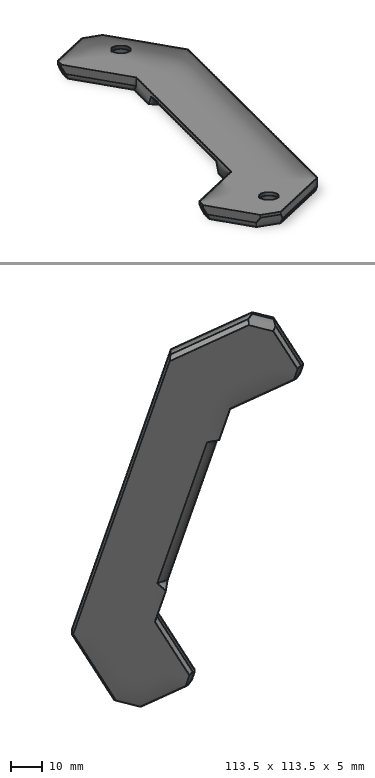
import cadquery as cq
import math

side = 113.5
thickness = 5.0
half = side / 2
symmetry_normal = (1, -1, 0)

pad_width = 27.3
pad_inner_length = 28.3
pad_outer_length = 34.7
outer_corner_cut = 5.0
inner_corner_cut = 2.3

undercut_slope = 0.5
edge_undercut_height = 2.0
corner_undercut_height = 4.0
undercut_overrun = 3.0

relief_height = 3.5
relief_face_length = 56.0
relief_corner_length = 60.0

hole_diameter = 6.3
hole_depth = 1.2
hole_from_end = 15.0
hole_from_side = 8.5


def mirrored(point):
    """Mirror a point across the plane X = Y."""
    return point[1], point[0]


arm_outer = (-half + pad_outer_length, half)
outer_cut_start = (-half + outer_corner_cut, half)
outer_cut_end = (-half, half - outer_corner_cut)
inner_cut_start = (-half, half - pad_width + inner_corner_cut)
inner_cut_end = (-half + inner_corner_cut, half - pad_width)
arm_inner = (-half + pad_inner_length, half - pad_width)
half_outline = [arm_outer, outer_cut_start, outer_cut_end, inner_cut_start, inner_cut_end, arm_inner]


def make_plate():
    outline = half_outline + [mirrored(point) for point in reversed(half_outline)]
    return cq.Workplane("XY").polyline(outline).close().extrude(thickness)


def make_arm_strip():
    """Arm slab with its inner edge carried past the pads, which is where undercuts stop."""
    run_on = (arm_inner[0] - undercut_overrun, arm_inner[1] + undercut_overrun)
    corners = [run_on, mirrored(run_on), mirrored(arm_outer), arm_outer]
    return cq.Workplane("XY").polyline(corners).close().extrude(thickness)


def make_undercut(start, end, height):
    """Wedge below an edge; the part lies to the left when going from start to end."""
    length = math.dist(start, end)
    along_x = (end[0] - start[0]) / length
    along_y = (end[1] - start[1]) / length
    origin = (start[0] - along_x * undercut_overrun, start[1] - along_y * undercut_overrun, 0)
    plane = cq.Plane(origin, xDir=(-along_y, along_x, 0), normal=(along_x, along_y, 0))
    profile = [
        (-undercut_overrun, 0),
        (height * undercut_slope, 0),
        (0, height),
        (-undercut_overrun, height),
    ]
    return cq.Workplane(plane).polyline(profile).close().extrude(length + 2 * undercut_overrun)


def make_half_undercuts():
    """Undercuts below the five pad edges; the last one ends at the arm."""
    edge_heights = [
        edge_undercut_height,
        corner_undercut_height,
        edge_undercut_height,
        corner_undercut_height,
        edge_undercut_height,
    ]
    edges = zip(half_outline, half_outline[1:], edge_heights)
    wedges = [make_undercut(start, end, height) for start, end, height in edges]
    wedges[-1] = wedges[-1].cut(make_arm_strip())
    return wedges


def make_relief():
    """Cutter lying on the 45 degree relief face, whose ends spread towards the bottom corner."""
    middle = (arm_inner[0] + arm_inner[1]) / 2
    plane = cq.Plane((middle, middle, 0), xDir=(1, -1, 0), normal=(-1, -1, math.sqrt(2)))
    face_depth = relief_height / math.sqrt(2)
    corner_half = relief_corner_length / 2
    face_half = relief_face_length / 2
    profile = [
        (-corner_half, 0),
        (corner_half, 0),
        (face_half, face_depth),
        (-face_half, face_depth),
    ]
    return cq.Workplane(plane).polyline(profile).close().extrude(relief_height, both=True)


def make_holes():
    center = (-half + hole_from_end, half - hole_from_side)
    floor = cq.Workplane("XY").workplane(offset=thickness - hole_depth)
    return floor.pushPoints([center, mirrored(center)]).circle(hole_diameter / 2).extrude(hole_depth)


result = make_plate()
for wedge in make_half_undercuts():
    result = result.cut(wedge).cut(wedge.mirror(symmetry_normal))
result = result.cut(make_relief()).cut(make_holes())